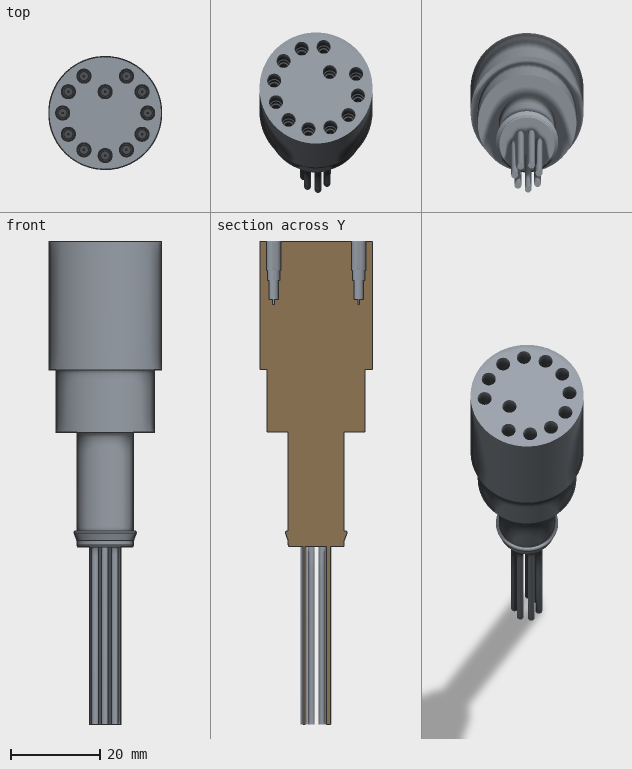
import cadquery as cq
import math

total_height = 108.5
head_bottom = 79.6
neck_bottom = 65.6
collar_top = 43.5
taper_bottom = 41.3
end_chamfer_top = 40.3
sleeve_bottom = 39.9

head_diameter = 25.4
neck_diameter = 22.1
sleeve_diameter = 12.7
collar_diameter = 14.0
end_face_diameter = 12.4

rim_round = 0.4

contact_places = 12
contact_circle_radius = 9.5
inner_contact_y = 4.8
socket_steps = [
    (3.1, 6.5),
    (2.7, 8.7),
    (2.1, 13.0),
    (0.3, 14.1),
]

wire_count = 7
wire_diameter = 1.5
wire_circle_radius = 2.8
first_wire_angle = -92
wire_embedding = 1.1


def make_body():
    """Head, neck, cable sleeve and tapered collar turned about the Z axis."""
    collar_radius = collar_diameter / 2
    collar_rim = collar_top - rim_round
    rim_middle = (
        collar_radius - rim_round + rim_round * math.sin(math.pi / 4),
        collar_rim + rim_round * math.cos(math.pi / 4),
    )
    half_profile = (
        cq.Workplane("XZ")
        .moveTo(0, total_height)
        .lineTo(head_diameter / 2, total_height)
        .lineTo(head_diameter / 2, head_bottom)
        .lineTo(neck_diameter / 2, head_bottom)
        .lineTo(neck_diameter / 2, neck_bottom)
        .lineTo(sleeve_diameter / 2, neck_bottom)
        .lineTo(sleeve_diameter / 2, collar_top)
        .lineTo(collar_radius - rim_round, collar_top)
        .threePointArc(rim_middle, (collar_radius, collar_rim))
        .lineTo(sleeve_diameter / 2, taper_bottom)
        .lineTo(sleeve_diameter / 2, end_chamfer_top)
        .lineTo(end_face_diameter / 2, sleeve_bottom)
        .lineTo(0, sleeve_bottom)
        .close()
    )
    return half_profile.revolve(360, (0, 0), (0, 1))


def contact_points():
    """Ring of contacts whose +Y place is moved inward to key the connector."""
    points = [(0, inner_contact_y)]
    for place in range(1, contact_places):
        angle = math.radians(90 + place * 360 / contact_places)
        x = contact_circle_radius * math.cos(angle)
        y = contact_circle_radius * math.sin(angle)
        points.append((x, y))
    return points


def cut_sockets(body):
    """Bore every contact socket, each step narrower and deeper than the last."""
    for diameter, depth in socket_steps:
        body = (
            body.faces(">Z")
            .workplane(origin=(0, 0, total_height))
            .pushPoints(contact_points())
            .circle(diameter / 2)
            .cutBlind(-depth)
        )
    return body


def make_wires():
    """Straight wires in a ring, running up into the sleeve."""
    return (
        cq.Workplane("XY")
        .polarArray(wire_circle_radius, first_wire_angle, 360, wire_count)
        .circle(wire_diameter / 2)
        .extrude(sleeve_bottom + wire_embedding)
    )


result = cut_sockets(make_body()).union(make_wires())